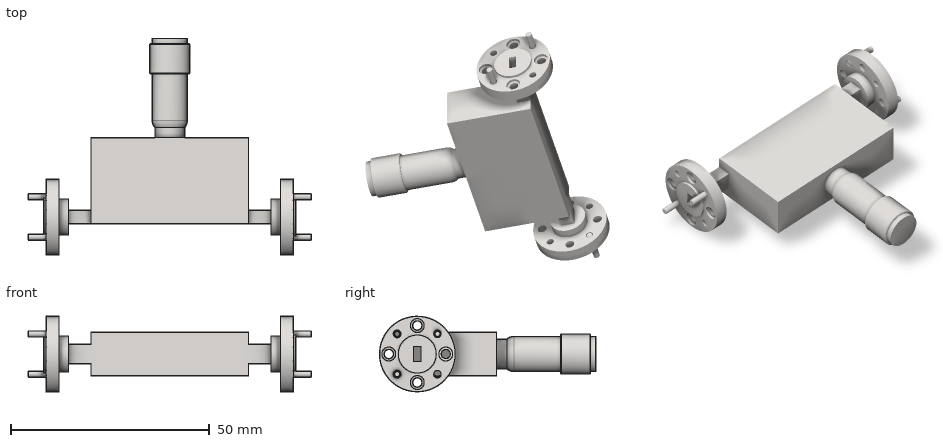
import cadquery as cq
import math


TOTAL_LENGTH = 71.25
TOTAL_DEPTH = 54.4

HOUSING_LENGTH = 39.7
HOUSING_HEIGHT = 11.0
HOUSING_BACK_Y = 19.95
ARM_WIDTH = 3.5
ARM_HEIGHT = 5.0
HOUSING_FRONT_Y = -ARM_WIDTH / 2

FLANGE_RADIUS = 19.0 / 2
FLANGE_THICKNESS = 3.3
FLANGE_OUTER_X = 31.1
FLANGE_INNER_X = FLANGE_OUTER_X - FLANGE_THICKNESS
HUB_RADIUS = 4.55
HUB_LENGTH = 2.35
HUB_INNER_X = FLANGE_INNER_X - HUB_LENGTH
FACE_RADIUS = 4.8
FACE_HEIGHT = 0.65
FACE_X = FLANGE_OUTER_X + FACE_HEIGHT

OPENING_WIDTH = 1.85
OPENING_HEIGHT = 3.8
OPENING_DEPTH = FACE_X - HUB_INNER_X

HOLE_CIRCLE_RADIUS = 14.3 / 2
SCREW_HOLE_RADIUS = 1.15
COUNTERBORE_RADIUS = 3.5 / 2
COUNTERBORE_DEPTH = 0.7
SCREW_ANGLES = (0, 90, 180, 270)
PIN_ANGLES = (45, 135, 225, 315)

PIN_RADIUS = 0.8
PIN_HOLE_RADIUS = 0.9
PIN_END_X = TOTAL_LENGTH / 2
PIN_CHAMFER = 0.15

NECK_RADIUS = 7.55 / 2
BARREL_RADIUS = 8.9 / 2
BARREL_START_Y = 22.5
SHOULDER_RADIUS = 2.6
THIMBLE_RADIUS = 10.1 / 2
THIMBLE_START_Y = 36.0
THIMBLE_END_Y = 43.6
THIMBLE_CHAMFER = 0.2
MICROMETER_END_Y = TOTAL_DEPTH - FLANGE_RADIUS


def disc(side, x_start, x_end, radius, y=0, z=0):
    """Cylinder along X between two distances from the middle; side is -1 or +1."""
    return (
        cq.Workplane("YZ", origin=(side * x_start, y, z))
        .circle(radius)
        .extrude(side * (x_end - x_start))
    )


def on_hole_circle(angle):
    """Y and Z of a point on the hole circle."""
    turn = math.radians(angle)
    return HOLE_CIRCLE_RADIUS * math.cos(turn), HOLE_CIRCLE_RADIUS * math.sin(turn)


def make_housing_block():
    depth = HOUSING_BACK_Y - HOUSING_FRONT_Y
    block = cq.Workplane("XY").box(HOUSING_LENGTH, depth, HOUSING_HEIGHT)
    block = block.translate((0, HOUSING_FRONT_Y + depth / 2, 0))
    arms = cq.Workplane("XY").box(2 * FLANGE_INNER_X, ARM_WIDTH, ARM_HEIGHT)
    return block.union(arms)


def make_micrometer():
    """Neck, barrel with a rounded shoulder, and thimble, revolved about Y."""
    shoulder_step = BARREL_RADIUS - NECK_RADIUS
    arc_center_radius = BARREL_RADIUS - SHOULDER_RADIUS
    shoulder_length = math.sqrt(SHOULDER_RADIUS**2 - (SHOULDER_RADIUS - shoulder_step) ** 2)
    shoulder_end_y = BARREL_START_Y + shoulder_length
    half_angle = math.asin(shoulder_length / SHOULDER_RADIUS) / 2
    arc_middle = (
        arc_center_radius + SHOULDER_RADIUS * math.cos(half_angle),
        shoulder_end_y - SHOULDER_RADIUS * math.sin(half_angle),
    )
    barrel = (
        cq.Workplane("XY")
        .moveTo(0, HOUSING_BACK_Y)
        .lineTo(NECK_RADIUS, HOUSING_BACK_Y)
        .lineTo(NECK_RADIUS, BARREL_START_Y)
        .threePointArc(arc_middle, (BARREL_RADIUS, shoulder_end_y))
        .lineTo(BARREL_RADIUS, MICROMETER_END_Y)
        .lineTo(0, MICROMETER_END_Y)
        .close()
        .revolve(360, (0, 0, 0), (0, 1, 0))
    )
    thimble = (
        cq.Workplane("XZ", origin=(0, THIMBLE_START_Y, 0))
        .circle(THIMBLE_RADIUS)
        .extrude(THIMBLE_START_Y - THIMBLE_END_Y)
        .edges()
        .chamfer(THIMBLE_CHAMFER)
    )
    return barrel.union(thimble)


def make_flange(side):
    """Round flange with its hub and raised face, before any holes."""
    plate = disc(side, FLANGE_INNER_X, FLANGE_OUTER_X, FLANGE_RADIUS)
    hub = disc(side, HUB_INNER_X, FLANGE_INNER_X, HUB_RADIUS)
    face = disc(side, FLANGE_OUTER_X, FACE_X, FACE_RADIUS)
    return plate.union(hub).union(face)


def cut_flange_openings(body, side):
    opening = (
        cq.Workplane("YZ", origin=(side * FACE_X, 0, 0))
        .rect(OPENING_WIDTH, OPENING_HEIGHT)
        .extrude(-side * OPENING_DEPTH)
    )
    body = body.cut(opening)
    for angle in SCREW_ANGLES:
        y, z = on_hole_circle(angle)
        counterbore_floor_x = FLANGE_OUTER_X - COUNTERBORE_DEPTH
        body = body.cut(disc(side, FLANGE_INNER_X, FLANGE_OUTER_X, SCREW_HOLE_RADIUS, y, z))
        body = body.cut(disc(side, counterbore_floor_x, FLANGE_OUTER_X, COUNTERBORE_RADIUS, y, z))
    for angle in PIN_ANGLES:
        y, z = on_hole_circle(angle)
        body = body.cut(disc(side, FLANGE_INNER_X, FLANGE_OUTER_X, PIN_HOLE_RADIUS, y, z))
    return body


def make_body():
    """Housing, arms, micrometer and both flanges in one piece."""
    body = make_housing_block().union(make_micrometer())
    for side in (-1, 1):
        body = body.union(make_flange(side))
        body = cut_flange_openings(body, side)
    return body


def make_pin(side, angle):
    """Dowel pin with chamfered ends; its inner end is flush with the inner flange face."""
    y, z = on_hole_circle(angle)
    pin = disc(side, FLANGE_INNER_X, PIN_END_X, PIN_RADIUS, y, z)
    return pin.faces("<X or >X").chamfer(PIN_CHAMFER)


body = make_body()

pins = [make_pin(side, angle) for side, angle in ((-1, 135), (-1, 315), (1, 45), (1, 225))]

result = cq.Compound.makeCompound([body.val(), *[pin.val() for pin in pins]])